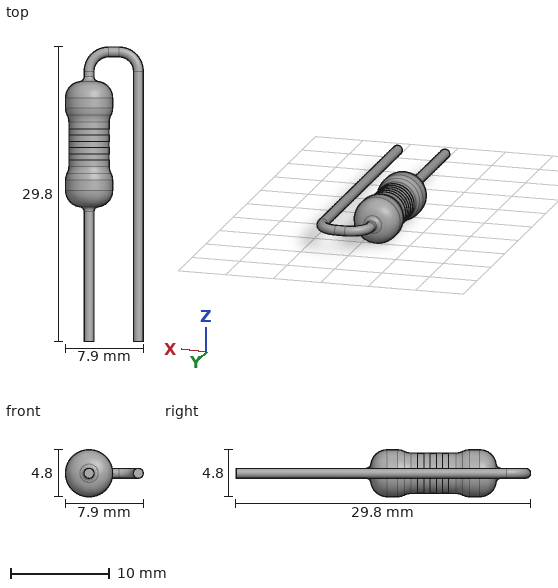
import cadquery as cq
import math


lead_diameter = 1.0
lead_radius = lead_diameter / 2
bend_radius = 1.97
overall_length = 29.8
overall_width = 7.9

cap_diameter = 4.8
waist_diameter = 4.1
band_diameter = 4.08
cap_radius = cap_diameter / 2
waist_radius = waist_diameter / 2
body_center_from_top = 9.83

waist_half = 2.25
cap_start = 3.65
cap_end = 4.68
dome_end = 6.35
neck_end = 6.82

dome_end_radius = 0.92

band_count = 3
band_width = 0.63
band_pitch = 2 * band_width
band_center = -0.03

top_y = body_center_from_top
bottom_y = top_y - overall_length
fold_y = top_y - lead_radius
bend_end_y = fold_y - bend_radius
lead_spacing = overall_width - cap_radius - lead_radius


def tangent_arc_mid(start, tangent, end):
    """Middle point of the arc that leaves start along the unit tangent and reaches end."""
    chord_x = end[0] - start[0]
    chord_y = end[1] - start[1]
    normal = (-tangent[1], tangent[0])
    offset = chord_x * normal[0] + chord_y * normal[1]
    radius = (chord_x**2 + chord_y**2) / (2 * offset)
    center = (start[0] + radius * normal[0], start[1] + radius * normal[1])
    mid_x = (start[0] + end[0]) / 2 - center[0]
    mid_y = (start[1] + end[1]) / 2 - center[1]
    scale = abs(radius) / math.hypot(mid_x, mid_y)
    return (center[0] + mid_x * scale, center[1] + mid_y * scale)


def make_half_body():
    """Revolved half of the body, from the middle of the waist up to the lead."""
    waist_end = (waist_radius, waist_half)
    flare_mid = ((waist_radius + cap_radius) / 2, (waist_half + cap_start) / 2)
    cap_inner = (cap_radius, cap_start)
    cap_outer = (cap_radius, cap_end)
    dome_tip = (dome_end_radius, dome_end)
    neck = (lead_radius, neck_end)
    along_axis = (0, 1)
    toward_middle = (0, -1)
    profile = (
        cq.Workplane("XY")
        .moveTo(0, 0)
        .lineTo(waist_radius, 0)
        .lineTo(*waist_end)
        .threePointArc(tangent_arc_mid(waist_end, along_axis, flare_mid), flare_mid)
        .threePointArc(tangent_arc_mid(cap_inner, toward_middle, flare_mid), cap_inner)
        .lineTo(*cap_outer)
        .threePointArc(tangent_arc_mid(cap_outer, along_axis, dome_tip), dome_tip)
        .threePointArc(tangent_arc_mid(neck, toward_middle, dome_tip), neck)
        .lineTo(0, neck_end)
        .close()
    )
    return profile.revolve(360, (0, 0, 0), (0, 1, 0))


def make_band_cutter(center_y):
    """Ring that cuts one shallow band into the waist."""
    start_y = center_y - band_width / 2
    return (
        cq.Workplane("XZ", origin=(0, start_y, 0))
        .circle(cap_radius)
        .circle(band_diameter / 2)
        .extrude(-band_width)
    )


def make_straight_lead():
    """Lead leaving the lower end of the body."""
    lead_length = -neck_end - bottom_y
    return (
        cq.Workplane("XZ", origin=(0, bottom_y, 0))
        .circle(lead_radius)
        .extrude(-lead_length)
    )


def make_folded_lead():
    """Lead leaving the upper end, bent twice and returning beside the body."""
    diagonal = bend_radius * math.sqrt(0.5)
    first_center_x = bend_radius
    second_center_x = lead_spacing - bend_radius
    path = (
        cq.Workplane("XY")
        .moveTo(0, neck_end)
        .lineTo(0, bend_end_y)
        .threePointArc(
            (first_center_x - diagonal, bend_end_y + diagonal),
            (first_center_x, fold_y),
        )
        .lineTo(second_center_x, fold_y)
        .threePointArc(
            (second_center_x + diagonal, bend_end_y + diagonal),
            (lead_spacing, bend_end_y),
        )
        .lineTo(lead_spacing, bottom_y)
    )
    return cq.Workplane("XZ", origin=(0, neck_end, 0)).circle(lead_radius).sweep(path)


half_body = make_half_body()
result = half_body.union(half_body.mirror("XZ"))
for index in range(band_count):
    band_y = band_center + (index - (band_count - 1) / 2) * band_pitch
    result = result.cut(make_band_cutter(band_y))
result = result.union(make_straight_lead()).union(make_folded_lead())